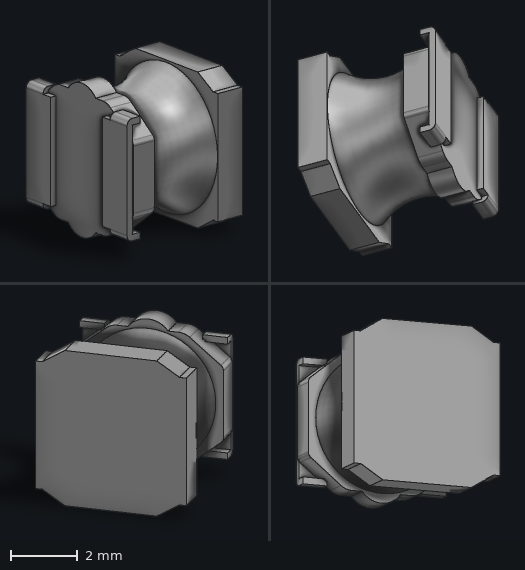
import cadquery as cq


TERMINAL_THICKNESS = 0.215
FRONT_FLANGE_THICKNESS = 0.82
WINDING_LENGTH = 2.495
BACK_FLANGE_THICKNESS = 0.97
FRONT_FACE_Y = TERMINAL_THICKNESS
WINDING_FRONT_Y = FRONT_FACE_Y + FRONT_FLANGE_THICKNESS
WINDING_BACK_Y = WINDING_FRONT_Y + WINDING_LENGTH

FLANGE_HALF_WIDTH = 4.78 / 2

BACK_HALF_HEIGHT = 4.95 / 2
BACK_SIDE_HALF_HEIGHT = 2.035
BACK_LEDGE_HALF_WIDTH = 2.175
BACK_TOP_HALF_WIDTH = 1.455
BACK_FLANGE_DROP = 0.03

FRONT_SIDE_HALF_HEIGHT = 1.17
FRONT_FLAT_HEIGHT = 2.135
FRONT_TOP_HALF_WIDTH = 1.17
SIDE_CORNER_RADIUS = 0.215
TOP_CORNER_RADIUS = 0.57
LOBE_HALF_WIDTH = 0.64
LOBE_TIP_HEIGHT = 2.445

POST_RADIUS = 1.19
WINDING_FRONT_RADIUS = 2.15
WINDING_WAIST_RADIUS = 1.9
WINDING_BACK_RADIUS = 2.375

TERMINAL_OUTER_X = 2.345
PLATE_INNER_X = 1.2
LEG_INNER_X = 1.555
TERMINAL_HALF_HEIGHT = 1.945
LEG_REACH = 0.295
BEND_RADIUS = TERMINAL_THICKNESS


def plane_at(y):
    """Plane across the axis at y: local x is X, local y is Z, extruding toward +Y."""
    return cq.Workplane(cq.Plane(origin=(0, y, 0), xDir=(1, 0, 0), normal=(0, -1, 0)))


def block(x_range, y_range, z_range):
    """Box spanning the given ranges."""
    sizes = [high - low for low, high in (x_range, y_range, z_range)]
    return cq.Workplane().box(*sizes, centered=False).translate((x_range[0], y_range[0], z_range[0]))


def make_back_flange():
    corner = [
        (FLANGE_HALF_WIDTH, BACK_SIDE_HALF_HEIGHT),
        (BACK_LEDGE_HALF_WIDTH, BACK_SIDE_HALF_HEIGHT),
        (BACK_TOP_HALF_WIDTH, BACK_HALF_HEIGHT),
    ]
    upper_half = corner + [(-x, z) for x, z in reversed(corner)]
    outline = upper_half + [(-x, -z) for x, z in upper_half]
    flange = plane_at(WINDING_BACK_Y).polyline(outline).close().extrude(-BACK_FLANGE_THICKNESS)
    return flange.translate((0, 0, -BACK_FLANGE_DROP))


def make_front_flange():
    upper_half = [
        (FLANGE_HALF_WIDTH, FRONT_SIDE_HALF_HEIGHT),
        (FRONT_TOP_HALF_WIDTH, FRONT_FLAT_HEIGHT),
        (-FRONT_TOP_HALF_WIDTH, FRONT_FLAT_HEIGHT),
        (-FLANGE_HALF_WIDTH, FRONT_SIDE_HALF_HEIGHT),
    ]
    outline = upper_half + [(-x, -z) for x, z in upper_half]
    flange = plane_at(FRONT_FACE_Y).polyline(outline).close().extrude(-FRONT_FLANGE_THICKNESS)
    side_limit = (FRONT_SIDE_HALF_HEIGHT + FRONT_FLAT_HEIGHT) / 2
    side_corners = flange.edges("|Y").filter(lambda edge: abs(edge.Center().z) < side_limit)
    flange = side_corners.fillet(SIDE_CORNER_RADIUS)
    flange = flange.edges("|Y and (>Z or <Z)").fillet(TOP_CORNER_RADIUS)
    for side in (1, -1):
        lobe = (
            plane_at(FRONT_FACE_Y)
            .moveTo(-LOBE_HALF_WIDTH, side * FRONT_FLAT_HEIGHT)
            .threePointArc((0, side * LOBE_TIP_HEIGHT), (LOBE_HALF_WIDTH, side * FRONT_FLAT_HEIGHT))
            .close()
            .extrude(-FRONT_FLANGE_THICKNESS)
        )
        flange = flange.union(lobe)
    return flange


def make_core(terminals):
    """Two flanges joined by a round post, with recesses for the terminal legs."""
    post = plane_at(WINDING_FRONT_Y).circle(POST_RADIUS).extrude(-WINDING_LENGTH)
    core = make_front_flange().union(post).union(make_back_flange())
    for terminal in terminals:
        core = core.cut(terminal)
    return core


def make_winding():
    """Ring around the post with a concave outer surface."""
    waist_y = WINDING_FRONT_Y + WINDING_LENGTH / 2
    return (
        cq.Workplane("XY")
        .moveTo(POST_RADIUS, WINDING_FRONT_Y)
        .lineTo(WINDING_FRONT_RADIUS, WINDING_FRONT_Y)
        .threePointArc((WINDING_WAIST_RADIUS, waist_y), (WINDING_BACK_RADIUS, WINDING_BACK_Y))
        .lineTo(POST_RADIUS, WINDING_BACK_Y)
        .close()
        .revolve(360, (0, 0, 0), (0, 1, 0))
    )


def make_terminal(side):
    """Terminal on the +X (side = 1) or -X (side = -1) end of the front flange."""
    inner_half_height = TERMINAL_HALF_HEIGHT - TERMINAL_THICKNESS
    plate_x = sorted((side * PLATE_INNER_X, side * TERMINAL_OUTER_X))
    leg_x = sorted((side * LEG_INNER_X, side * TERMINAL_OUTER_X))
    full_height = (-TERMINAL_HALF_HEIGHT, TERMINAL_HALF_HEIGHT)
    inner_height = (-inner_half_height, inner_half_height)
    leg_end_y = FRONT_FACE_Y + LEG_REACH

    hook = block(leg_x, (0, leg_end_y), full_height)
    hook = hook.edges("|X and <Y").fillet(BEND_RADIUS)
    hook = hook.cut(block(leg_x, (FRONT_FACE_Y, leg_end_y), inner_height))
    plate = block(plate_x, (0, FRONT_FACE_Y), inner_height)
    return hook.union(plate)


terminals = [make_terminal(side) for side in (-1, 1)]
core = make_core(terminals)
winding = make_winding()

result = cq.Compound.makeCompound([core.val(), winding.val(), *[terminal.val() for terminal in terminals]])